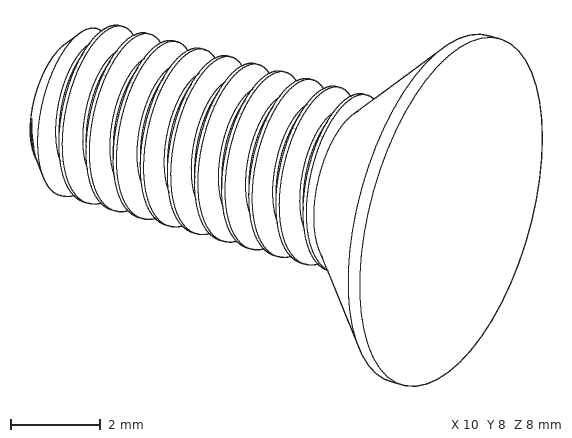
import cadquery as cq
import math

length = 10.0
head_diameter = 8.0
rim_thickness = 0.3
thread_diameter = 4.0
root_diameter = 3.09
tip_diameter = 2.94
pitch = 0.7
flank_half_angle = math.radians(30)
root_flat = pitch / 8
groove_phase = 0.23
turns_before = 2
groove_turns = 14
cutter_overlap = 0.05
seam_angle = 123

head_radius = head_diameter / 2
thread_radius = thread_diameter / 2
root_radius = root_diameter / 2
tip_radius = tip_diameter / 2
cone_end = length - rim_thickness


def cone_x(radius):
    """X at which the 45 degree head cone has the given radius."""
    return cone_end - (head_radius - radius)


def revolve_about_x(points):
    return cq.Workplane("XY").polyline(points).close().revolve(360, (0, 0, 0), (1, 0, 0))


def make_shank():
    """Plain shank with a 45 degree chamfer at the tip."""
    shank_end = cone_x(thread_radius)
    return revolve_about_x([
        (0, 0),
        (0, tip_radius),
        (thread_radius - tip_radius, thread_radius),
        (shank_end, thread_radius),
        (shank_end, 0),
    ])


def make_head():
    """Countersunk head whose cone reaches down to the thread root."""
    return revolve_about_x([
        (cone_x(root_radius), 0),
        (cone_x(root_radius), root_radius),
        (cone_end, head_radius),
        (length, head_radius),
        (length, 0),
    ])


def make_groove():
    """Right-hand 60 degree thread groove, built along Z and then turned onto X."""
    outer_radius = thread_radius + cutter_overlap
    root_half = root_flat / 2
    outer_half = root_half + (outer_radius - root_radius) * math.tan(flank_half_angle)
    profile = [
        (root_radius, -root_half),
        (outer_radius, -outer_half),
        (outer_radius, outer_half),
        (root_radius, root_half),
    ]
    edges = [
        cq.Wire.makeHelix(pitch, groove_turns * pitch, radius).translate(cq.Vector(0, 0, z))
        for radius, z in profile
    ]
    faces = []
    for edge, next_edge in zip(edges, edges[1:] + edges[:1]):
        faces.extend(cq.Face.makeRuledSurface(edge, next_edge).Faces())
    for end_points in (
        [edge.startPoint() for edge in edges],
        [edge.endPoint() for edge in edges],
    ):
        faces.append(cq.Face.makeFromWires(cq.Wire.makePolygon(end_points, close=True)))
    solid = cq.Solid.makeSolid(cq.Shell.makeShell(faces)).fix()
    groove = cq.Workplane(obj=solid).rotate((0, 0, 0), (0, 1, 0), 90)
    return groove.translate((groove_phase - turns_before * pitch, 0, 0))


shank = make_shank().rotate((0, 0, 0), (1, 0, 0), seam_angle)
result = shank.cut(make_groove()).union(make_head())